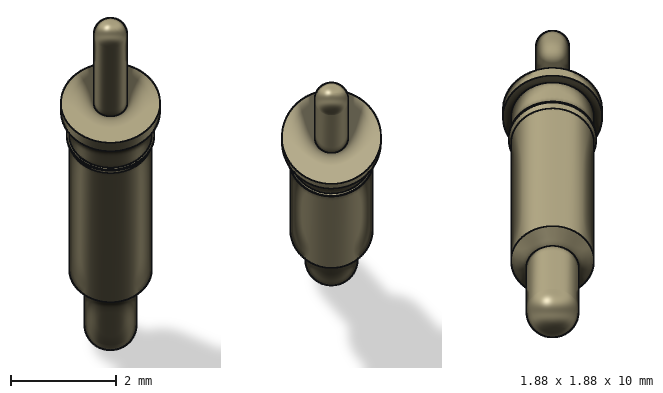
import cadquery as cq


tail_radius = 0.64 / 2
flange_radius = 1.88 / 2
body_radius = 1.57 / 2
ring_radius = 1.66 / 2
plunger_radius = 1.00 / 2

tail_length = 2.49
flange_thickness = 0.27
ring_depth = 1.00
ring_land = 0.04
ring_taper = 0.135
body_depth = 5.28
nose_taper = 0.25
plunger_depth = 7.53


def cylinder(radius, bottom, top):
    """Cylinder on the Z axis between two heights."""
    return cq.Workplane("XY").workplane(offset=bottom).circle(radius).extrude(top - bottom)


def cone(bottom_radius, top_radius, bottom, top):
    """Truncated cone on the Z axis between two heights."""
    profile = (
        cq.Workplane("XZ")
        .moveTo(0, bottom)
        .lineTo(bottom_radius, bottom)
        .lineTo(top_radius, top)
        .lineTo(0, top)
        .close()
    )
    return profile.revolve(360, (0, 0, 0), (0, 1, 0))


def dome(radius, center_height):
    """Ball that rounds off the end of a rod of the same radius."""
    return cq.Workplane("XY").sphere(radius).translate((0, 0, center_height))


def make_tail():
    dome_center = tail_length - tail_radius
    return cylinder(tail_radius, -flange_thickness, dome_center).union(dome(tail_radius, dome_center))


def make_barrel():
    flange = cylinder(flange_radius, -flange_thickness, 0)
    body = cylinder(body_radius, -body_depth, -flange_thickness)
    nose = cone(plunger_radius, body_radius, -body_depth - nose_taper, -body_depth)
    return flange.union(body).union(nose)


def make_press_ring():
    land_bottom = -ring_depth - ring_land
    land = cylinder(ring_radius, land_bottom, -ring_depth)
    taper = cone(body_radius, ring_radius, land_bottom - ring_taper, land_bottom)
    return land.union(taper)


def make_plunger():
    dome_center = plunger_radius - plunger_depth
    return cylinder(plunger_radius, dome_center, -body_depth).union(dome(plunger_radius, dome_center))


result = make_barrel().union(make_press_ring()).union(make_tail()).union(make_plunger())